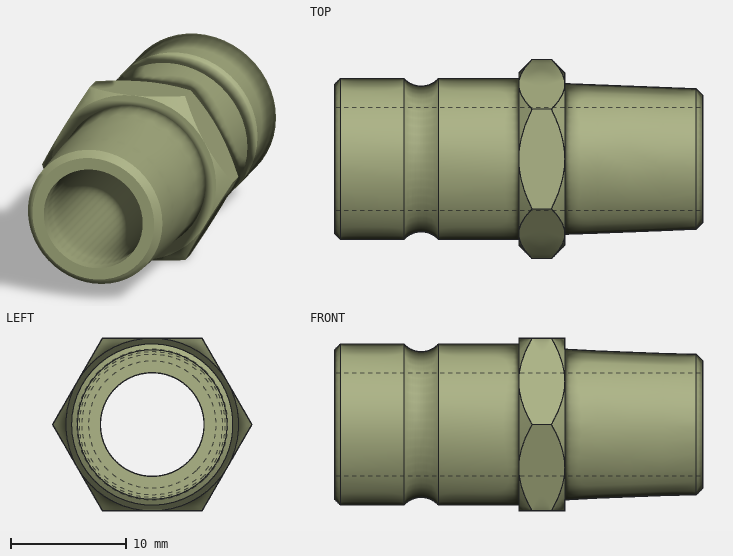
import cadquery as cq
import math

total_length = 32.0
hex_start = 16.0
hex_width = 4.0
hex_end = hex_start + hex_width

body_radius = 7.0
body_chamfer = 0.5
groove_start = 6.0
groove_width = 3.0
groove_depth = 0.67
groove_end = groove_start + groove_width
groove_middle = groove_start + groove_width / 2

hex_across_flats = 15.0
hex_flat_radius = hex_across_flats / 2
hex_across_corners = hex_across_flats / math.cos(math.pi / 6)

taper_large_radius = 6.55
taper_small_radius = 6.1
end_chamfer = 0.58

bore_diameter = 9.0


def make_plug():
    """Round body with a chamfered mouth and a concave locking groove."""
    return (
        cq.Workplane("XY")
        .moveTo(0, 0)
        .lineTo(0, body_radius - body_chamfer)
        .lineTo(body_chamfer, body_radius)
        .lineTo(groove_start, body_radius)
        .threePointArc((groove_middle, body_radius - groove_depth), (groove_end, body_radius))
        .lineTo(hex_start, body_radius)
        .lineTo(hex_start, 0)
        .close()
        .revolve(360, (0, 0, 0), (1, 0, 0))
    )


def make_hexagon():
    """Wrench hexagon whose corners are turned off at 45 degrees on both faces."""
    prism = (
        cq.Workplane("YZ", origin=(hex_start, 0, 0))
        .polygon(6, hex_across_corners)
        .extrude(hex_width)
    )
    turned_envelope = (
        cq.Workplane("XY")
        .moveTo(hex_start, 0)
        .lineTo(hex_start, hex_flat_radius)
        .lineTo(hex_start + hex_width / 2, hex_flat_radius + hex_width / 2)
        .lineTo(hex_end, hex_flat_radius)
        .lineTo(hex_end, 0)
        .close()
        .revolve(360, (0, 0, 0), (1, 0, 0))
    )
    return prism.intersect(turned_envelope)


def make_tapered_end():
    """Conical thread blank narrowing towards a chamfered tip."""
    return (
        cq.Workplane("XY")
        .moveTo(hex_end, 0)
        .lineTo(hex_end, taper_large_radius)
        .lineTo(total_length - end_chamfer, taper_small_radius)
        .lineTo(total_length, taper_small_radius - end_chamfer)
        .lineTo(total_length, 0)
        .close()
        .revolve(360, (0, 0, 0), (1, 0, 0))
    )


bore = cq.Workplane("YZ").circle(bore_diameter / 2).extrude(total_length)

result = make_plug().union(make_hexagon()).union(make_tapered_end()).cut(bore)